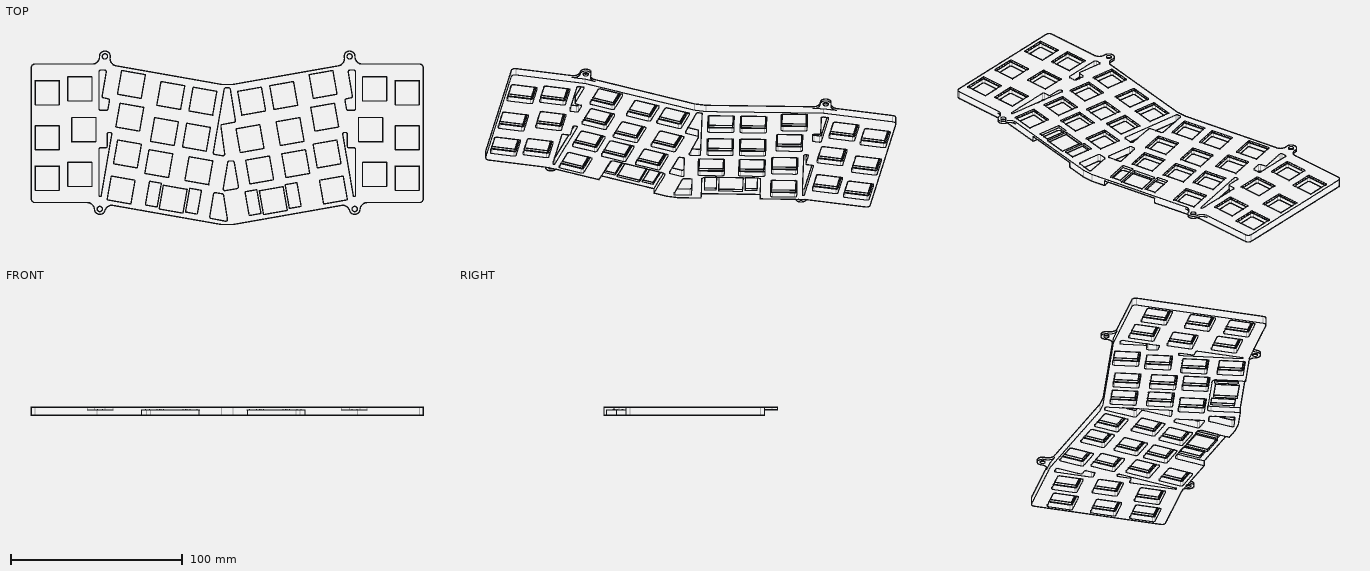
import cadquery as cq
import math

LENGTH = 228.5
THICKNESS = 4.8
PLATE = 1.5
BODY = THICKNESS - PLATE
TILT = 10.0

WING_FRONT = 12.8
WING_BACK = 93.7
CORNER_RADIUS = 2.3
BLOCK_FRONT = -0.57
BLOCK_BACK = 80.0
MIDDLE_BACK = 81.8

KEY = 14.0
PITCH = 19.0
KEY_CLEARANCE = 0.7
KEY_POCKET_RADIUS = 1.1

STABILIZER_WIDTH = 6.9
STABILIZER_OFFSET = 12.0
STABILIZER_RAISE = 1.0
STABILIZER_CLEARANCE = 1.8
STABILIZER_POCKET_RADIUS = 2.0

TAB_RADIUS = 3.2
TAB_HOLE = 3.0
BACK_TAB = (71.3, 98.0)
FRONT_TAB = (74.3, 9.1)
FLARE_RADIUS = 4.1
OVERLAP = 1.1

SLOT_RADIUS = 1.0
TIP_RADIUS = 0.5

BLOCK_ORIGIN = (45.5, 9.1)
SHARED_KEYS = [
    (1, 0), (1, 1.125), (0, 1), (1.125, 2.25), (0, 2),
    (1.25, 3.25), (0, 3.125), (-1, 3.125),
]
LEFT_KEYS = SHARED_KEYS + [(-1.25, 1), (-1, 2)]
RIGHT_KEYS = SHARED_KEYS + [(-1.125, 1), (-1.25, 2)]
LEFT_WIDE_KEY = (-0.625, 0)
RIGHT_WIDE_KEY = (-0.875, 0)

WING_ORIGIN = (105.0, 27.0)
WING_KEYS = [(0, 0), (0, 1.25), (0, 2.625), (-1, 0.125), (-1.125, 1.5), (-1, 2.75)]

BACK_SIDE_SLOT = [
    (74.8, 90.0), (70.5, 90.0), (73.2, 74.0), (68.5, 73.2), (69.7, 66.8), (74.8, 66.8),
]
FRONT_SIDE_SLOT = [
    (70.0, 53.7), (67.2, 53.7), (73.5, 16.5), (74.8, 16.5), (74.8, 44.8), (70.0, 44.8),
]

MIDDLE_SLOTS = [
    [(-1.5, 79.8), (1.5, 79.8), (4.8, 60.0), (-4.0, 58.3), (-1.4, 40.0), (-8.2, 41.1)],
    [(0.5, 37.0), (4.0, 37.0), (6.6, 21.3), (-2.5, 19.7)],
    [(-7.8, 18.7), (-2.3, 17.8), (0.2, 1.8), (-10.3, 4.0)],
]


def prism(points):
    return cq.Workplane().polyline(points).close().extrude(THICKNESS)


def mirrored(points):
    return [(-x, y) for x, y in points]


def turned(point, degrees):
    """Turn a point about the part origin."""
    angle = math.radians(degrees)
    x, y = point
    return (
        x * math.cos(angle) - y * math.sin(angle),
        x * math.sin(angle) + y * math.cos(angle),
    )


def box(center, size, height):
    return cq.Workplane().center(*center).rect(*size).extrude(height)


def key_center(origin, steps):
    return tuple(start + PITCH * step for start, step in zip(origin, steps))


def key_opening(center):
    """Square hole in the plate over a larger rounded pocket in the frame."""
    pocket_side = KEY + 2 * KEY_CLEARANCE
    pocket = box(center, (pocket_side, pocket_side), BODY).edges("|Z").fillet(KEY_POCKET_RADIUS)
    return pocket.union(box(center, (KEY, KEY), THICKNESS))


def wide_key_opening(center):
    """Key hole and two stabilizer slots over one pocket that opens through the front edge."""
    u, v = center
    slot_v = v + STABILIZER_RAISE
    half_width = STABILIZER_OFFSET + STABILIZER_WIDTH / 2 + STABILIZER_CLEARANCE
    pocket_back = slot_v + KEY / 2 + STABILIZER_CLEARANCE
    pocket_front = BLOCK_FRONT - 2 * STABILIZER_CLEARANCE
    pocket_center = (u, (pocket_back + pocket_front) / 2)
    pocket = box(pocket_center, (2 * half_width, pocket_back - pocket_front), BODY)
    opening = pocket.edges("|Z and >Y").fillet(STABILIZER_POCKET_RADIUS)
    opening = opening.union(box(center, (KEY, KEY), THICKNESS))
    for side in (-1, 1):
        slot_center = (u + side * STABILIZER_OFFSET, slot_v)
        opening = opening.union(box(slot_center, (STABILIZER_WIDTH, KEY), THICKNESS))
    return opening


def outline():
    """Closed outline of the frame, without the tabs."""
    slope = math.tan(math.radians(TILT))
    rise = 1 / math.cos(math.radians(TILT))
    front_vertex = BLOCK_FRONT * rise
    back_vertex = BLOCK_BACK * rise
    half = [
        (-front_vertex / slope, 0),
        ((WING_FRONT - front_vertex) / slope, WING_FRONT),
        (LENGTH / 2, WING_FRONT),
        (LENGTH / 2, WING_BACK),
        ((WING_BACK - back_vertex) / slope, WING_BACK),
        ((MIDDLE_BACK - back_vertex) / slope, MIDDLE_BACK),
    ]
    return half + mirrored(half)[::-1]


def flare(foot, angle, height, side):
    """Web with a concave round between a tab and one straight edge of the outline.

    The edge passes through foot, the point of it nearest to the tab centre, and
    height is the distance between them. Angle turns the edge from the X axis, and
    side is 1 or -1 along the edge.
    """
    reach = math.sqrt((FLARE_RADIUS + TAB_RADIUS) ** 2 - (height - FLARE_RADIUS) ** 2)
    center = (side * reach, FLARE_RADIUS)
    start = (side * reach, 0)
    share = TAB_RADIUS / (FLARE_RADIUS + TAB_RADIUS)
    touch = (center[0] * share, height + (FLARE_RADIUS - height) * share)
    chord = ((start[0] + touch[0]) / 2 - center[0], (start[1] + touch[1]) / 2 - center[1])
    stretch = FLARE_RADIUS / math.hypot(*chord)
    middle = (center[0] + chord[0] * stretch, center[1] + chord[1] * stretch)
    web = (
        cq.Workplane()
        .moveTo(-side * OVERLAP, -OVERLAP)
        .lineTo(start[0], -OVERLAP)
        .lineTo(*start)
        .threePointArc(middle, touch)
        .lineTo(0, height)
        .close()
        .extrude(PLATE)
    )
    return web.rotate((0, 0, 0), (0, 0, 1), angle).translate((foot[0], foot[1], BODY))


def screw_tab(tab, wing_edge, block_edge, facing):
    """Round tab on the +X half; facing is 1 at the back edge and -1 at the front edge."""
    disc = cq.Workplane().workplane(offset=BODY).center(*tab).circle(TAB_RADIUS).extrude(PLATE)
    turn = 0 if facing > 0 else 180
    wing_height = facing * (tab[1] - wing_edge)
    wing_flare = flare((tab[0], wing_edge), turn, wing_height, facing)
    tab_u, tab_v = turned(tab, -TILT)
    block_height = facing * (tab_v - block_edge)
    block_foot = turned((tab_u, block_edge), TILT)
    block_flare = flare(block_foot, turn + TILT, block_height, -facing)
    return disc.union(wing_flare).union(block_flare)


def block_openings(keys, wide_key):
    openings = wide_key_opening(key_center(BLOCK_ORIGIN, wide_key))
    for steps in keys:
        openings = openings.union(key_opening(key_center(BLOCK_ORIGIN, steps)))
    return openings.rotate((0, 0, 0), (0, 0, 1), TILT)


def slot(points):
    return prism(points).edges("|Z").fillet(SLOT_RADIUS)


def front_side_slot():
    """Slot with a narrow front tip, which has smaller corner rounds."""
    body = prism(FRONT_SIDE_SLOT)
    return body.edges("|Z and (not <Y)").fillet(SLOT_RADIUS).edges("|Z and <Y").fillet(TIP_RADIUS)


result = prism(outline())
result = result.edges("|Z and (<X or >X)").fillet(CORNER_RADIUS)

tabs = screw_tab(BACK_TAB, WING_BACK, BLOCK_BACK, 1)
tabs = tabs.union(screw_tab(FRONT_TAB, WING_FRONT, BLOCK_FRONT, -1))
result = result.union(tabs).union(tabs.mirror("YZ"))
for x, y in [BACK_TAB, FRONT_TAB]:
    for side in (-1, 1):
        hole = cq.Workplane().center(side * x, y).circle(TAB_HOLE / 2).extrude(THICKNESS)
        result = result.cut(hole)

result = result.cut(block_openings(RIGHT_KEYS, RIGHT_WIDE_KEY))
result = result.cut(block_openings(LEFT_KEYS, LEFT_WIDE_KEY).mirror("YZ"))

for steps in WING_KEYS:
    opening = key_opening(key_center(WING_ORIGIN, steps))
    result = result.cut(opening).cut(opening.mirror("YZ"))

for points in MIDDLE_SLOTS:
    result = result.cut(slot(points))

for side_slot in (slot(BACK_SIDE_SLOT), front_side_slot()):
    result = result.cut(side_slot).cut(side_slot.mirror("YZ"))